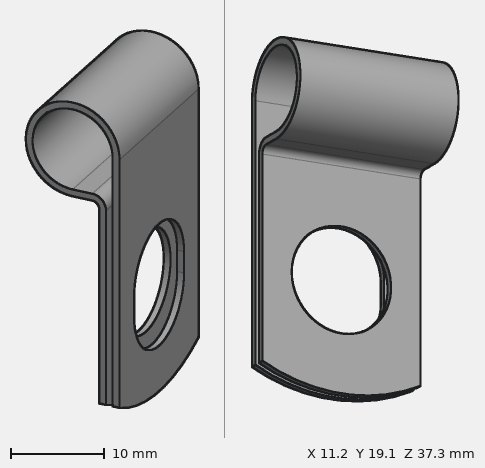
import cadquery as cq
import math

height = 37.33
width = 19.05
thickness = 0.82
loop_diameter = 11.15
leg_gap = 0.8
bend_inner_radius = 0.82
end_drop = 2.25
hole_diameter = 11.95
hole_height = 12.7
slot_straight = 2.55

outer_radius = loop_diameter / 2
inner_radius = outer_radius - thickness
bottom_z = outer_radius - height
front_leg_right = inner_radius - leg_gap
front_leg_left = front_leg_right - thickness
bend_outer_radius = bend_inner_radius + thickness
bend_center_x = front_leg_right - bend_outer_radius
bend_start_z = -inner_radius - bend_outer_radius
half_width = width / 2
hole_center_z = bottom_z + hole_height
diagonal = math.sqrt(0.5)


def folded_strip():
    """Loop, bend and both legs as one profile, centred across the width."""
    return (
        cq.Workplane("XZ", origin=(0, half_width, 0))
        .moveTo(outer_radius, bottom_z)
        .lineTo(outer_radius, 0)
        .threePointArc((-outer_radius * diagonal, outer_radius * diagonal), (0, -outer_radius))
        .lineTo(bend_center_x, -outer_radius)
        .radiusArc((front_leg_left, bend_start_z), bend_inner_radius)
        .lineTo(front_leg_left, bottom_z)
        .lineTo(front_leg_right, bottom_z)
        .lineTo(front_leg_right, bend_start_z)
        .radiusArc((bend_center_x, -inner_radius), -bend_outer_radius)
        .lineTo(0, -inner_radius)
        .threePointArc((-inner_radius * diagonal, inner_radius * diagonal), (inner_radius, 0))
        .lineTo(inner_radius, bottom_z)
        .close()
        .extrude(width)
    )


def rounded_end_envelope():
    """Side outline with the bowed lower end, used to trim both legs."""
    corner_z = bottom_z + end_drop
    return (
        cq.Workplane("YZ")
        .moveTo(-half_width, outer_radius)
        .lineTo(-half_width, corner_z)
        .threePointArc((0, bottom_z), (half_width, corner_z))
        .lineTo(half_width, outer_radius)
        .close()
        .extrude(loop_diameter, both=True)
    )


def round_hole():
    """Cutter for the round hole in the front leg."""
    return (
        cq.Workplane("YZ", origin=(front_leg_left, 0, hole_center_z))
        .circle(hole_diameter / 2)
        .extrude(thickness)
    )


def slotted_hole():
    """Cutter for the upright slot in the back leg, level with the round hole."""
    return (
        cq.Workplane("YZ", origin=(inner_radius, 0, hole_center_z))
        .slot2D(hole_diameter + slot_straight, hole_diameter, angle=90)
        .extrude(thickness)
    )


result = (
    folded_strip()
    .intersect(rounded_end_envelope())
    .cut(round_hole())
    .cut(slotted_hole())
)